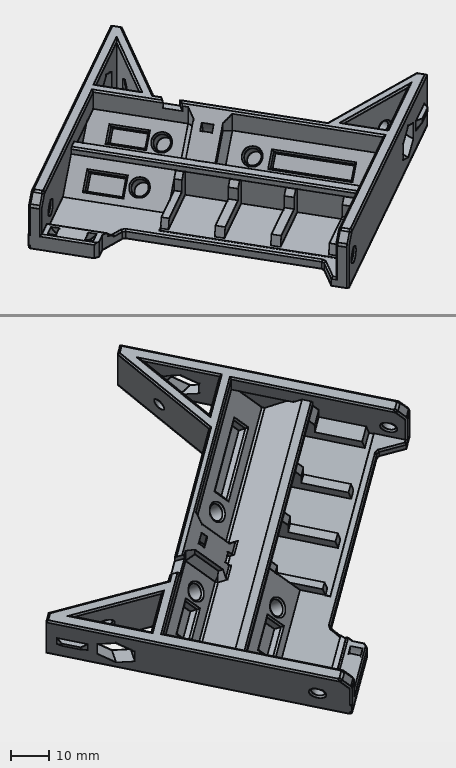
import cadquery as cq
import math

body_width = 85.4
length = 81.75
height = 16.5
wall = 3.5
edge_chamfer = 0.5
selection_margin = 0.1
bevel_angle = 45
half_width = body_width / 2
inner_half = half_width - wall

strut_angle = 30
strut_slope = math.tan(math.radians(strut_angle))
tip_width = 2.9
rear_face = 53.5
floor_front = 11.0
right_wall_front = 4.1
shelf_right = -23.85
shelf_notch_y = 4.2
shelf_corner = 1.1
right_gusset_inner = 38.0
wall_nose_chamfer = 3.0

window_side = 39.3
window_front = 54.4
window_width = 11.8

floor_top = 2.7
root_level = 0.9
slope_top = 10.9
rear_slope_top = 10.65
ridge_front = 29.4
ridge_rear = 32.3
ridge_top = 12.9
rear_wall_inner = 51.2
side_relief_depth = 1.1
ridge_slope_foot = ridge_rear + ridge_top - floor_top
rear_slope_foot = rear_wall_inner - (rear_slope_top - floor_top)
front_slope_foot = ridge_front - (slope_top - floor_top)

front_slope = (ridge_front, slope_top)
rear_slope = (rear_wall_inner, rear_slope_top)

cell_left = -10.9
cell_front = 13.1
cell_depth = 0.3
cell_rear = 31.0
rib_pitch = 15.1
rib_width = 2.6
first_rib_left = -11.4
rib_count = 3
end_rib_left = 34.5
rib_height = 5.5
rib_front = 14.4
rib_front_draft = 0.7
post_depth = 1.6
post_top = 10.8

pocket_drop = 4.2
round_diameter = 4.6
round_depth = 5.0
slot_height = 4.4
tall_slot_height = 5.3
slot_depth = 3.0
short_slot_width = 10.0
long_slot_width = 21.8
short_slot_x = -28.7
long_slot_x = 21.1
left_round_x = -19.5
right_round_x = 4.9

saddle_left = -11.5
saddle_right = -3.6
saddle_flare = 2.0
saddle_raise = (height - edge_chamfer - rear_slope_top) / math.sqrt(2)
saddle_valley_height = 5.3

tie_outer_reach = 6.2
tie_inner_reach = 4.0
shelf_tie_lift = 3.3
saddle_tie_lift = 1.4
tie_width = 3.3

shelf_top = 4.75
shelf_rear = 6.2
shelf_rear_chamfer = 0.7
shelf_ramp_length = 1.7
shelf_ramp_rise = 0.6
shelf_tie_x = -31.6
shelf_tie_y = 2.7

fitting_height = 7.4
pivot_y = 9.15
pivot_diameter = 3.6
nut_y = 63.0
nut_flats = 8.7
strut_hole_diameter = 3.6
latch_reach = 1.3
latch_y = 74.7
latch_length = 8.3
latch_tip_length = 5.2
latch_top = 8.9
latch_foot = 5.8
latch_tip_bottom = 7.7

notch_left = -20.3
notch_right = -15.05
notch_floor = 14.3


def prism_along_x(points, x_start, x_end):
    """Solid with a (Y, Z) profile between two X positions."""
    return cq.Workplane("YZ").workplane(offset=x_start).polyline(points).close().extrude(x_end - x_start)


def plan_prism(points, z_start, z_end):
    """Solid with an (X, Y) profile between two heights."""
    return cq.Workplane("XY").workplane(offset=z_start).polyline(points).close().extrude(z_end - z_start)


def outline():
    """Plan shape of the whole frame at full height."""
    strut_tip = half_width - tip_width
    strut_foot = strut_tip - (length - rear_face) * strut_slope
    shelf_notch = shelf_right + (floor_front - shelf_notch_y) * strut_slope
    gusset_top = right_gusset_inner - (floor_front - right_wall_front) * strut_slope
    plan = plan_prism([
        (-half_width, 0), (shelf_right - shelf_corner, 0), (shelf_right, shelf_corner),
        (shelf_right, shelf_notch_y), (shelf_notch, floor_front), (gusset_top, floor_front),
        (right_gusset_inner, right_wall_front), (half_width, right_wall_front),
        (half_width, length), (strut_tip, length), (strut_foot, rear_face),
        (-strut_foot, rear_face), (-strut_tip, length), (-half_width, length),
    ], 0, height)
    inside_corners = cq.selectors.BoxSelector(
        (-half_width, floor_front - selection_margin, 0),
        (half_width, floor_front + selection_margin, height),
    )
    return plan.edges("|Z").edges(inside_corners).chamfer(edge_chamfer)


def window(side):
    """Triangular opening between a side wall and its strut."""
    return plan_prism([
        (side * window_side, window_front),
        (side * (window_side - window_width), window_front),
        (side * window_side, window_front + window_width / strut_slope),
    ], 0, height)


def tray_space():
    """Open space above the floor, the ridge and the two slopes."""
    profile = [
        (0, floor_top), (front_slope_foot, floor_top), front_slope,
        (ridge_front, ridge_top - edge_chamfer), (ridge_front + edge_chamfer, ridge_top),
        (ridge_rear, ridge_top), (ridge_slope_foot, floor_top), (rear_slope_foot, floor_top),
        rear_slope, (rear_wall_inner, height), (0, height),
    ]
    return prism_along_x(profile, -inner_half, inner_half)


def side_relief():
    """Undercut that carries the rear slope a little way into both side walls."""
    profile = [
        (ridge_slope_foot, floor_top), (rear_slope_foot, floor_top), rear_slope,
        (ridge_slope_foot - (rear_slope_top - floor_top), rear_slope_top),
    ]
    reach = inner_half + side_relief_depth
    return prism_along_x(profile, -reach, reach)


def wall_nose(x_start, front):
    """Corner removed from the upper front end of a side wall."""
    profile = [
        (front, height), (front + wall_nose_chamfer, height), (front, height - wall_nose_chamfer),
    ]
    return prism_along_x(profile, x_start, x_start + wall)


def front_end_edges(side, front):
    """Edges around the front end of a side wall."""
    return cq.selectors.BoxSelector(
        (side * (inner_half - selection_margin), front - selection_margin, selection_margin),
        (side * (half_width + selection_margin), front + wall_nose_chamfer, height - selection_margin),
    )


def cell_space():
    """Shallow recess of the cells, undercutting the ridge."""
    recess = [
        (cell_front, floor_top - cell_depth), (cell_rear, floor_top - cell_depth),
        (cell_rear, slope_top), (front_slope_foot, slope_top), (front_slope_foot, floor_top),
        (cell_front, floor_top),
    ]
    return prism_along_x(recess, cell_left, inner_half)


def rib(left, right):
    """Low rib across the cells that steps up to a post against the ridge."""
    post_front = ridge_front - post_depth
    profile = [
        (rib_front, root_level), (rib_front, floor_top), (rib_front + rib_front_draft, rib_height),
        (post_front, rib_height), (post_front, post_top - post_depth),
        (ridge_front, post_top), (cell_rear, post_top), (cell_rear, root_level),
    ]
    return prism_along_x(profile, left, right)


def slope_plane(x, slope, lift=0):
    """Plane on a slope at pocket level; its normal leans forward and up."""
    wall_y, top = slope
    rise = lift * math.sqrt(0.5)
    origin = (x, wall_y - pocket_drop - rise, top - pocket_drop + rise)
    return cq.Plane(origin=origin, xDir=(1, 0, 0), normal=(0, -1, 1))


def round_pocket(x, slope):
    """Blind countersunk hole square to a slope."""
    plane = slope_plane(x, slope)
    radius = round_diameter / 2
    bore = cq.Workplane(plane).circle(radius).extrude(-round_depth)
    mouth = cq.Workplane(plane).circle(radius + edge_chamfer).extrude(-edge_chamfer, taper=bevel_angle)
    return bore.union(mouth)


def slot_pocket(x, slope, width, tall=slot_height):
    """Rectangular pocket; a taller one keeps its upper edge and grows downhill."""
    sketch = cq.Workplane(slope_plane(x, slope)).center(0, (slot_height - tall) / 2)
    pocket = sketch.rect(width, tall).extrude(-slot_depth)
    grow = 2 * edge_chamfer
    mouth = sketch.rect(width + grow, tall + grow).extrude(-edge_chamfer, taper=bevel_angle)
    return pocket.union(mouth)


def saddle():
    """Raised face flush with the rear wall bevel, with flared flanks and a cable-tie tunnel."""
    face_top = rear_slope_top + saddle_raise * math.sqrt(2)
    face_foot = rear_wall_inner - (face_top - saddle_valley_height)
    ridge_foot = ridge_slope_foot - (saddle_valley_height - floor_top)
    block = prism_along_x([
        (ridge_foot, saddle_valley_height), (ridge_slope_foot, floor_top),
        (rear_slope_foot, floor_top), rear_slope,
        (rear_wall_inner, face_top), (face_foot, saddle_valley_height),
    ], saddle_left - saddle_flare, saddle_right + saddle_flare)
    far = 3 * height
    air = [
        (ridge_slope_foot, floor_top), (rear_slope_foot, floor_top), rear_slope,
        (rear_wall_inner, far), (ridge_slope_foot - far + floor_top, far),
    ]
    for x, direction in ((saddle_left - saddle_flare, 1), (saddle_right + saddle_flare, -1)):
        side = cq.Workplane("YZ").workplane(offset=x).polyline(air).close()
        block = block.cut(side.extrude(direction * saddle_flare, taper=bevel_angle))
    middle = (saddle_left + saddle_right) / 2
    face = slope_plane(middle, rear_slope, saddle_raise)
    across = cq.Plane(origin=face.origin, xDir=face.yDir, normal=face.zDir)
    return block.cut(tie_tunnel(across, saddle_tie_lift))


def tie_tunnel(plane, lift):
    """Arched tunnel opening twice along the plane's X, curved about an axis above the plane."""
    section = cq.Plane(
        origin=plane.toWorldCoords((0, 0, lift)).toTuple(),
        xDir=plane.xDir.toTuple(), normal=plane.yDir.toTuple(),
    )
    outer_radius = math.hypot(tie_outer_reach, lift)
    inner_radius = math.hypot(tie_inner_reach, lift)
    ring = cq.Workplane(section).circle(outer_radius).circle(inner_radius)
    return ring.extrude(tie_width / 2, both=True)


def shelf():
    """Raised corner block with a low ramp behind it."""
    profile = [
        (0, root_level), (0, shelf_top - edge_chamfer), (edge_chamfer, shelf_top),
        (shelf_rear - shelf_rear_chamfer, shelf_top), (shelf_rear, shelf_top - shelf_rear_chamfer),
        (shelf_rear, floor_top + shelf_ramp_rise), (shelf_rear + shelf_ramp_length, floor_top),
        (shelf_rear + shelf_ramp_length, root_level),
    ]
    return prism_along_x(profile, -half_width, 0).intersect(outline())


def latch(side):
    """Catch on the outside of a side wall with a ramped underside."""
    def face(x, span, bottom):
        return cq.Wire.makePolygon([
            cq.Vector(side * x, latch_y + y, z)
            for y, z in (
                (-span / 2, bottom), (span / 2, bottom), (span / 2, latch_top), (-span / 2, latch_top),
            )
        ], close=True)

    root = face(half_width, latch_length, latch_foot)
    tip = face(half_width + latch_reach, latch_tip_length, latch_tip_bottom)
    return cq.Workplane(cq.Solid.makeLoft([root, tip], True))


def pivot_hole(side):
    """Hole through a side wall, countersunk on both faces."""
    radius = pivot_diameter / 2
    center = (side * half_width, pivot_y, fitting_height)
    outer = cq.Plane(origin=center, xDir=(0, 1, 0), normal=(side, 0, 0))
    hole = cq.Workplane(outer).circle(radius).extrude(-wall)
    for offset, direction in ((0, -1), (-wall, 1)):
        rim = cq.Workplane(outer).workplane(offset=offset).circle(radius + edge_chamfer)
        hole = hole.union(rim.extrude(direction * edge_chamfer, taper=bevel_angle))
    return hole


def nut_passage(side):
    """Hexagonal passage square to the strut, with a screw hole through the strut."""
    angle = math.radians(strut_angle)
    direction = (-side * math.cos(angle), math.sin(angle), 0)
    plane = cq.Plane(origin=(side * half_width, nut_y, fitting_height), xDir=(0, 0, 1), normal=direction)
    apex_y = window_front + window_width / strut_slope
    strut_distance = (half_width - window_side) * math.cos(angle) + (apex_y - nut_y) * math.sin(angle)
    hexagon = cq.Workplane(plane).workplane(offset=-wall)
    hexagon = hexagon.polygon(6, nut_flats / math.cos(angle)).extrude(wall + strut_distance)
    radius = strut_hole_diameter / 2
    screw = cq.Workplane(plane).workplane(offset=strut_distance)
    bore = screw.circle(radius).extrude(strut_distance)
    mouth = screw.circle(radius + edge_chamfer).extrude(edge_chamfer, taper=bevel_angle)
    return hexagon.union(bore).union(mouth)


def cable_notch():
    """Notch through the rear wall, skewed at the strut angle."""
    depth = rear_face - rear_wall_inner
    shift = depth * strut_slope
    return plan_prism([
        (notch_left, rear_wall_inner), (notch_right, rear_wall_inner),
        (notch_right - shift, rear_face), (notch_left - shift, rear_face),
    ], notch_floor, height)


body = outline()
body = body.cut(window(-1)).cut(window(1)).cut(tray_space())
body = body.cut(wall_nose(-half_width, 0)).cut(wall_nose(inner_half, right_wall_front))
body = body.edges(front_end_edges(-1, 0)).chamfer(edge_chamfer)
body = body.edges(front_end_edges(1, right_wall_front)).chamfer(edge_chamfer)
body = body.faces(">Z").edges().chamfer(edge_chamfer)

floor_edge = cq.selectors.BoxSelector(
    (selection_margin - inner_half, 0, floor_top - selection_margin),
    (inner_half - selection_margin, floor_front + selection_margin, floor_top + selection_margin),
)
body = body.edges(floor_edge).chamfer(edge_chamfer)

body = body.cut(side_relief()).cut(cell_space())
for index in range(rib_count):
    left = first_rib_left + index * rib_pitch
    body = body.union(rib(max(left, cell_left), left + rib_width))
body = body.union(rib(end_rib_left, inner_half))

body = body.union(saddle()).union(shelf())

for slope in (front_slope, rear_slope):
    body = body.cut(round_pocket(left_round_x, slope))
body = body.cut(round_pocket(right_round_x, rear_slope))
body = body.cut(slot_pocket(short_slot_x, front_slope, short_slot_width, tall_slot_height))
body = body.cut(slot_pocket(short_slot_x, rear_slope, short_slot_width))
body = body.cut(slot_pocket(long_slot_x, rear_slope, long_slot_width))

body = body.cut(tie_tunnel(cq.Plane(origin=(shelf_tie_x, shelf_tie_y, shelf_top)), shelf_tie_lift))

for side in (-1, 1):
    body = body.union(latch(side))
    body = body.cut(pivot_hole(side)).cut(nut_passage(side))

result = body.cut(cable_notch())